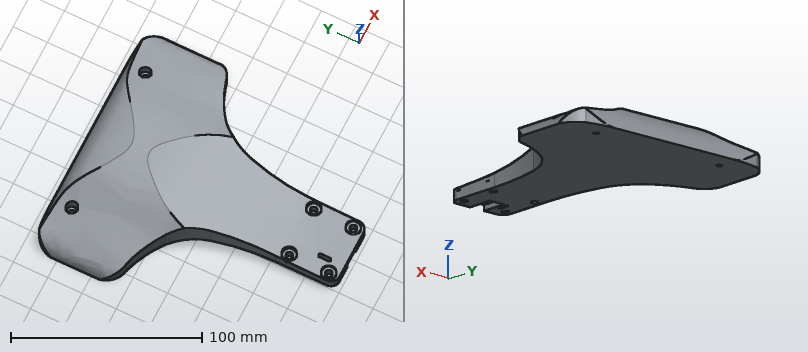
import cadquery as cq

LENGTH = 154.7
HALF_SPAN = 69.0
PLAN_HALF_SPAN = 69.2
PEAK = 19.0
MARGIN = 7.7

TAIL_HALF_WIDTH = 18.9
TAIL_LENGTH = 34.8
TAIL_CORNER = 4.8
TAIL_END_HEIGHT = 6.0
TAIL_ROOT_HEIGHT = 7.9

TIP_FRONT_Y = 113.3
TIP_REAR_Y = 135.7
REAR_HALF_WIDTH = 41.0
REAR_STEEPNESS = 4.0
WING_FRONT_Y = 78.9
WING_CROWN_Y = 122.2
FRONT_DROOP = 2.5
REAR_DROOP = 2.3

TAIL_HOLE = 4.0
TAIL_BORE = 8.0
TAIL_BORE_FLOOR = 5.0
TAIL_HOLE_X = 14.4
TAIL_HOLE_ROWS = (6.0, 29.1)
WING_HOLE = 3.0
WING_BORE = 6.5
WING_BORE_FLOOR = 5.0
WING_HOLE_X = 43.0
WING_HOLE_Y = 141.7

SLOT_WIDTH = 2.0
SLOT_LENGTH = 7.1
SLOT_X = -7.7
SLOT_Y = 11.8
CHANNEL_WIDTH = 9.6
CHANNEL_HEIGHT = 3.2
CHANNEL_LENGTH = 15.5


def mirrored(points):
    """Points reflected across the YZ plane, in reverse order."""
    return [(-x, y) for x, y in reversed(points)]


def add_arcs(path, points):
    """Continue the path with arcs; points alternate between arc midpoints and arc ends."""
    for middle, end in zip(points[0::2], points[1::2]):
        path = path.threePointArc(middle, end)
    return path


def plan():
    """T-shaped plan of the plate, drawn anticlockwise from the tail end."""
    corner_start = TAIL_HALF_WIDTH - TAIL_CORNER
    neck = [
        (TAIL_HALF_WIDTH, TAIL_LENGTH),
        (20.6, 57.2), (23.2, 70.2),
        (28.5, 82.3), (35.7, 90.7),
        (44.5, 96.5), (58.5, 102.5),
        (65.9, 106.5), (PLAN_HALF_SPAN, TIP_FRONT_Y),
    ]
    rear_corner = [
        (PLAN_HALF_SPAN, TIP_REAR_Y),
        (66.8, 146.5), (59.9, 152.4),
        (51.8, 154.0), (REAR_HALF_WIDTH, LENGTH),
    ]
    left_corner = mirrored(rear_corner)
    left_neck = mirrored(neck)

    path = (
        cq.Workplane("XY")
        .moveTo(-corner_start, 0)
        .lineTo(corner_start, 0)
        .radiusArc((TAIL_HALF_WIDTH, TAIL_CORNER), -TAIL_CORNER)
        .lineTo(*neck[0])
    )
    path = add_arcs(path, neck[1:]).lineTo(*rear_corner[0])
    path = add_arcs(path, rear_corner[1:]).lineTo(*left_corner[0])
    path = add_arcs(path, left_corner[1:]).lineTo(*left_neck[0])
    path = add_arcs(path, left_neck[1:]).lineTo(-TAIL_HALF_WIDTH, TAIL_CORNER)
    return path.radiusArc((-corner_start, 0), -TAIL_CORNER).close().extrude(PEAK + MARGIN)


def length_profile():
    """Side profile: tail slope, rising neck and rounded rear, just clearing the crown."""
    half_width = HALF_SPAN + MARGIN
    tail_slope = (TAIL_LENGTH, TAIL_ROOT_HEIGHT - TAIL_END_HEIGHT)
    rear_slope = (1, -REAR_STEEPNESS)
    crest = [
        (TAIL_LENGTH, TAIL_ROOT_HEIGHT), (49.7, 9.7), (65.3, 12.2), (80.9, 15.0),
        (92.7, 16.9), (108.3, 18.5), (117.9, PEAK), (128.4, PEAK), (137.4, 18.1),
        (143.6, 16.4), (147.6, 14.0), (151.5, 9.3), (LENGTH, 0),
    ]
    return (
        cq.Workplane("YZ", origin=(-half_width, 0, 0))
        .moveTo(-MARGIN, -MARGIN)
        .lineTo(-MARGIN, TAIL_END_HEIGHT)
        .lineTo(0, TAIL_END_HEIGHT)
        .spline(crest, tangents=[tail_slope, rear_slope], includeCurrent=True)
        .lineTo(LENGTH, -MARGIN)
        .close()
        .extrude(2 * half_width)
    )


def wing_section(y, droop):
    """Closed section across the wings at y, lowered by droop in the middle of each wing."""
    half = [
        (13.8, 18.5), (22.5, 17.5), (28.3, 16.1 - droop / 5), (37.1, 13.5 - droop),
        (46.0, 11.5 - droop), (54.8, 9.6 - droop / 2), (60.7, 8.0), (63.6, 7.1), (66.4, 5.1), (67.9, 3.1),
        (HALF_SPAN, 0),
    ]
    left = mirrored(half) + [(0, PEAK)]
    return (
        cq.Workplane("XZ", origin=(0, y, 0))
        .moveTo(-HALF_SPAN, -MARGIN)
        .lineTo(-HALF_SPAN, 0)
        .spline(left[1:] + half, includeCurrent=True)
        .lineTo(HALF_SPAN, -MARGIN)
        .close()
    )


def wing_envelope():
    """Wing surface bulging along Y, carried on past the neck at its front section."""
    stations = [
        (LENGTH + MARGIN, REAR_DROOP),
        (WING_CROWN_Y, 0),
        (WING_FRONT_Y, FRONT_DROOP),
    ]
    wires = [wing_section(y, droop).val() for y, droop in stations]
    bulge = cq.Workplane(cq.Solid.makeLoft(wires))
    ahead = wing_section(WING_FRONT_Y, FRONT_DROOP).extrude(WING_FRONT_Y + MARGIN)
    return bulge.union(ahead)


def counterbored_hole(x, y, hole, bore, floor):
    """Cutter for a through hole with a flat-floored counterbore open at the top."""
    through = cq.Workplane("XY").center(x, y).circle(hole / 2).extrude(PEAK)
    recess = cq.Workplane("XY", origin=(x, y, floor)).circle(bore / 2).extrude(PEAK)
    return through.union(recess)


body = plan().intersect(length_profile()).intersect(wing_envelope())

for side in (-1, 1):
    for row in TAIL_HOLE_ROWS:
        body = body.cut(counterbored_hole(side * TAIL_HOLE_X, row, TAIL_HOLE, TAIL_BORE, TAIL_BORE_FLOOR))
    body = body.cut(
        counterbored_hole(side * WING_HOLE_X, WING_HOLE_Y, WING_HOLE, WING_BORE, WING_BORE_FLOOR)
    )

slot = cq.Workplane("XY").center(SLOT_X, SLOT_Y).slot2D(SLOT_LENGTH, SLOT_WIDTH, 90).extrude(PEAK)
channel = cq.Workplane("XY").box(
    CHANNEL_WIDTH, CHANNEL_LENGTH, CHANNEL_HEIGHT, centered=(True, False, False)
)

result = body.cut(slot).cut(channel)